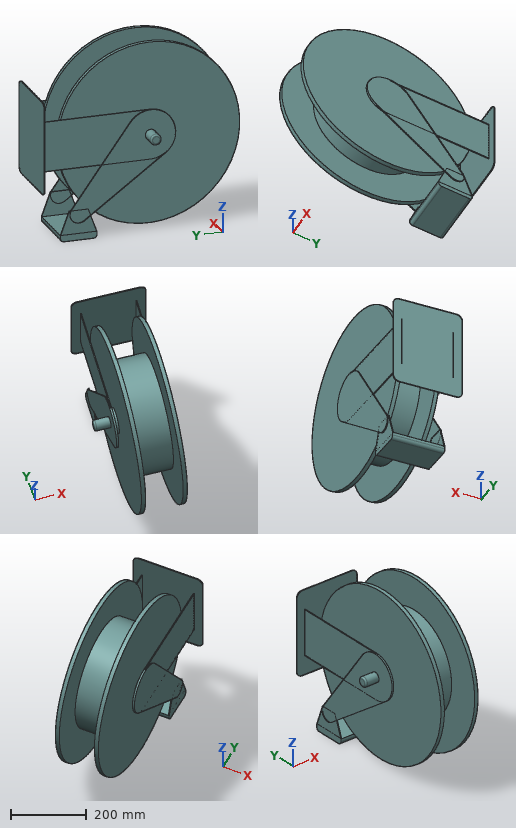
import cadquery as cq
import math


flange_diameter = 510.0
flange_thickness = 12.0
drum_diameter = 316.0
drum_width = 102.5
hub_diameter = 70.0

shaft_diameter = 30.0
shaft_tip_x = -124.5
shaft_tip_fillet = 5.0

sheet = 3.0
frame_width = 154.5
frame_half = frame_width / 2
wall_plate_width = 204.0
wall_plate_height = 259.5
wall_plate_corner = 18.0
wall_plate_back = 305.5
bracket_height = 140.0

arm_big_radius = bracket_height / 2
arm_small_radius = 25.0
arm_end_y = 200.0
arm_end_z = -200.0

foot_bottom_z = -274.0
foot_floor_height = 18.0
foot_top_z = -189.5
foot_bottom_width = 102.0
foot_top_width = 52.5
foot_corner_radius = 9.5


def axial_cylinder(diameter, start_x, end_x):
    """Solid cylinder on the reel axis."""
    return cq.Workplane("YZ", origin=(start_x, 0, 0)).circle(diameter / 2).extrude(end_x - start_x)


def mirrored_pair(plate):
    """A plate together with its mirror image across the reel's middle plane."""
    return plate.union(plate.mirror("YZ"))


def make_reel():
    flange_outer_x = drum_width / 2 + flange_thickness
    hub = axial_cylinder(hub_diameter, -frame_half, frame_half)
    drum = axial_cylinder(drum_diameter, -drum_width / 2, drum_width / 2)
    flange = axial_cylinder(flange_diameter, drum_width / 2, flange_outer_x)
    return hub.union(drum).union(mirrored_pair(flange))


def make_shaft():
    shaft = axial_cylinder(shaft_diameter, shaft_tip_x, frame_half)
    return shaft.faces("<X").edges().fillet(shaft_tip_fillet)


def make_wall_plate():
    return (
        cq.Workplane("XY")
        .box(wall_plate_width, sheet, wall_plate_height)
        .edges("|Y")
        .fillet(wall_plate_corner)
        .translate((0, wall_plate_back - sheet / 2, 0))
    )


def make_brackets():
    """Straight side plates from the wall plate to a round end about the reel axis."""
    radius = bracket_height / 2
    bracket = (
        cq.Workplane("YZ", origin=(frame_half - sheet, 0, 0))
        .moveTo(wall_plate_back - sheet, radius)
        .lineTo(0, radius)
        .threePointArc((-radius, 0), (0, -radius))
        .lineTo(wall_plate_back - sheet, -radius)
        .close()
        .extrude(sheet)
    )
    return mirrored_pair(bracket)


def make_arms():
    """Two end circles joined by their outer tangents, on the outside of the brackets."""
    length = math.hypot(arm_end_y, arm_end_z)
    direction = math.atan2(arm_end_z, arm_end_y)
    tangent_angle = math.acos((arm_big_radius - arm_small_radius) / length)

    def big_end(angle):
        return (arm_big_radius * math.cos(angle), arm_big_radius * math.sin(angle))

    def small_end(angle):
        return (
            arm_end_y + arm_small_radius * math.cos(angle),
            arm_end_z + arm_small_radius * math.sin(angle),
        )

    upper = direction + tangent_angle
    lower = direction - tangent_angle
    arm = (
        cq.Workplane("YZ", origin=(frame_half, 0, 0))
        .moveTo(*big_end(lower))
        .threePointArc(big_end(direction + math.pi), big_end(upper))
        .lineTo(*small_end(upper))
        .threePointArc(small_end(direction), small_end(lower))
        .close()
        .extrude(sheet)
    )
    return mirrored_pair(arm)


def make_foot():
    """Tapered cheeks on a thick floor, cleared between the cheeks above the floor."""
    floor_top_z = foot_bottom_z + foot_floor_height
    half_bottom = foot_bottom_width / 2
    half_top = foot_top_width / 2
    profile = [
        (arm_end_y - half_bottom, foot_bottom_z),
        (arm_end_y + half_bottom, foot_bottom_z),
        (arm_end_y + half_bottom, floor_top_z),
        (arm_end_y + half_top, foot_top_z),
        (arm_end_y - half_top, foot_top_z),
        (arm_end_y - half_bottom, floor_top_z),
    ]
    foot = (
        cq.Workplane("YZ", origin=(-frame_half, 0, 0))
        .polyline(profile)
        .close()
        .extrude(frame_width)
        .faces("<Z")
        .edges("|X")
        .fillet(foot_corner_radius)
    )
    gap = cq.Workplane("XY").box(
        frame_width - 2 * sheet,
        foot_bottom_width,
        foot_top_z - floor_top_z,
        centered=(True, True, False),
    )
    return foot.cut(gap.translate((0, arm_end_y, floor_top_z)))


result = (
    make_reel()
    .union(make_shaft())
    .union(make_wall_plate())
    .union(make_brackets())
    .union(make_arms())
    .union(make_foot())
)